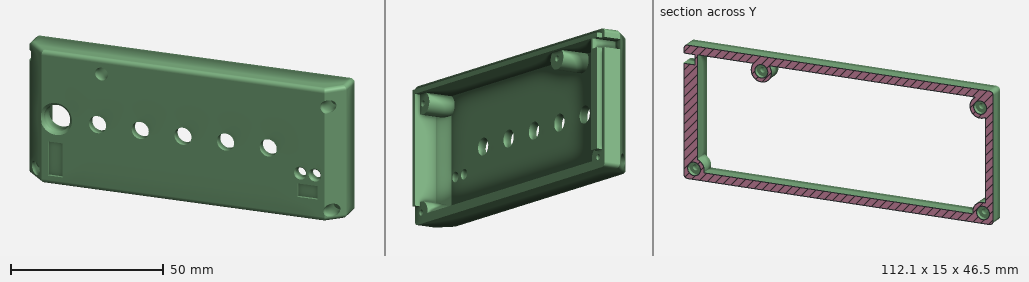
import cadquery as cq

length = 112.1
depth = 15.0
height = 46.5
overlap = 0.1

lip_height = 2.0
body_depth = depth - lip_height
left_chamfer = 7.0
right_chamfer_width = 5.6
right_chamfer_depth = 5.3
edge_fillet = 1.5
wall = 3.0
left_wall = 5.0

lip_inset = 1.5
lip_bottom = 6.0

notch_floor = 4.0
notch_bottom = 40.0
notch_height = 3.4
notch_front = 5.95

corner_inset = 3.75
screws = [
    (corner_inset, corner_inset),
    (length - corner_inset, corner_inset),
    (length - 4.8, 40.2),
    (28.1, 41.2),
]
screw_diameter = 2.0
head_diameter = 4.5
head_seat = 9.0
boss_diameter = 7.5

row_height = height / 2
control_diameter = 6.0
control_count = 5
control_pitch = 15.0
first_control = 26.7

jack_x = 12.1
jack_diameter = 9.2
jack_countersink = 1.0
collar_diameter = 13.0
collar_back = 5.7

indicator_x = (98.0, 103.1)
indicator_z = 15.95
indicator_diameter = 3.5
indicator_countersink = 0.5

recess_depth = 1.0
recesses = [
    (9.3, 3.1, 5.0, 11.9),
    (97.0, 7.5, 7.0, 4.7),
]


def box(x, y, z, size_x, size_y, size_z):
    """Box placed by its lowest corner."""
    return cq.Workplane("XY").box(size_x, size_y, size_z, centered=False).translate((x, y, z))


def rod(x, z, diameter, front, back):
    """Cylinder along Y between two depths."""
    axis = cq.Vector(0, 1, 0)
    return cq.Workplane(cq.Solid.makeCylinder(diameter / 2, back - front, cq.Vector(x, front, z), axis))


def countersunk_hole(x, z, diameter, countersink, back):
    """Cutter for a hole from the front face with a 45 degree countersink."""
    radius = diameter / 2
    cone = cq.Solid.makeCone(
        radius + countersink, radius, countersink, cq.Vector(x, 0, z), cq.Vector(0, 1, 0)
    )
    return rod(x, z, diameter, -overlap, back).union(cq.Workplane(cone))


def outer_profile(back):
    """Wire of the chamfered outline in the XY plane, reaching back to the given depth."""
    outline = [
        (0, back),
        (0, left_chamfer),
        (left_chamfer, 0),
        (length - right_chamfer_width, 0),
        (length, right_chamfer_depth),
        (length, back),
    ]
    return cq.Workplane("XY").polyline(outline).close()


def make_body():
    """Solid block with chamfered front corners and rounded top and bottom edges."""
    body = outer_profile(body_depth).extrude(height)
    return body.faces("<Z or >Z").edges("not >Y").fillet(edge_fillet)


def make_cavity():
    """Hollow inside of the shell, open to the back and kept clear of the thicker left wall."""
    inner_height = height - 2 * wall
    open_back = depth + wall + overlap
    inner = outer_profile(open_back).offset2D(-wall, "intersection").extrude(inner_height)
    inner = inner.translate((0, 0, wall))
    return inner.cut(box(0, 0, 0, left_wall, open_back, height))


def make_lip():
    """Block whose rim, once hollowed, is the lip on the left, right and top walls."""
    lip_length = length - 2 * lip_inset
    lip_top = height - lip_inset
    start = body_depth - overlap
    return box(lip_inset, start, lip_bottom, lip_length, depth - start, lip_top - lip_bottom)


body = make_body()
shell = body.union(make_lip()).cut(make_cavity())

for x, z in screws:
    shell = shell.union(rod(x, z, boss_diameter, 0, body_depth).intersect(body))
shell = shell.union(rod(jack_x, row_height, collar_diameter, 0, collar_back).intersect(body))

for x, z in screws:
    shell = shell.cut(rod(x, z, screw_diameter, -overlap, depth))
    shell = shell.cut(rod(x, z, head_diameter, -overlap, head_seat))

for i in range(control_count):
    control_x = first_control + i * control_pitch
    shell = shell.cut(rod(control_x, row_height, control_diameter, -overlap, depth))
shell = shell.cut(countersunk_hole(jack_x, row_height, jack_diameter, jack_countersink, depth))
for x in indicator_x:
    shell = shell.cut(countersunk_hole(x, indicator_z, indicator_diameter, indicator_countersink, depth))

for x, z, width, tall in recesses:
    shell = shell.cut(box(x, 0, z, width, recess_depth, tall))

notch_depth = depth + overlap - notch_front
result = shell.cut(box(0, notch_front, notch_bottom, notch_floor, notch_depth, notch_height))